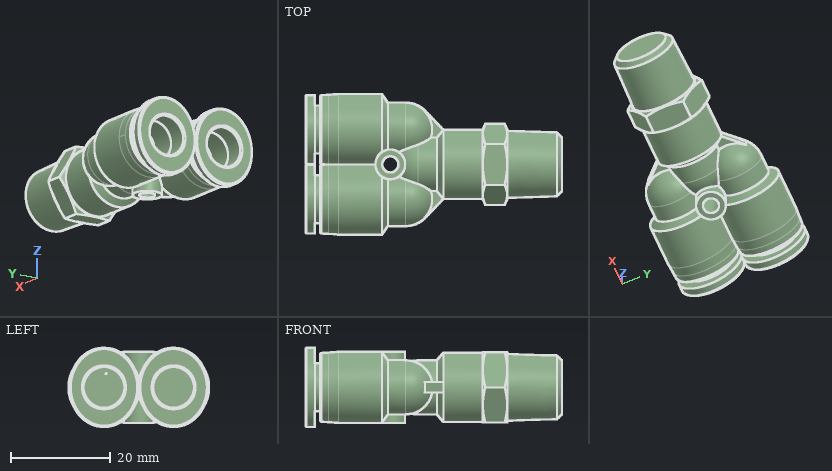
import cadquery as cq
import math

total_length = 51.7
branch_spacing = 14.0
branch_y = branch_spacing / 2

flange_width = 13.9
flange_height = 16.0
flange_thickness = 1.9
flange_edge_chamfer = 0.25
neck_diameter = 9.7
tube_bore_diameter = 8.2
sleeve_end_x = 4.6
tube_bore_depth = 10.35
tube_bore_chamfer = 0.3

socket_front_x = 2.95
socket_front_chamfer = 0.25
front_ring_end_x = 4.65
socket_taper_end_x = 6.65
socket_end_x = 15.4
arm_start_x = 16.6
arm_dome_x = 20.15
front_ring_diameter = 13.9
front_ring_end_diameter = 14.05
socket_diameter = 14.35
arm_radius = 5.5

trunk_dome_x = 22.7
barrel_cone_x = 26.45
barrel_start_x = 27.75
barrel_diameter = 14.0
web_thickness = 2.15

eyelet_x = 17.1
eyelet_diameter = 6.0
eyelet_hole_diameter = 3.2
eyelet_height = socket_diameter

hex_start_x = 35.65
hex_end_x = 40.7
hex_across_flats = 14.2
hex_across_corners = hex_across_flats / math.cos(math.pi / 6)
hex_face_diameter = 13.9
hex_chamfer_length = 0.55
thread_start_diameter = 13.55
thread_taper = 1 / 16
thread_end_chamfer = 1.1


def revolve_about_x(profile):
    """Close an (x, radius) profile and turn it about the X axis."""
    return profile.close().revolve(360, (0, 0, 0), (1, 0, 0))


def cylinder_x(diameter, start, end):
    return cq.Workplane("YZ").workplane(offset=start).circle(diameter / 2).extrude(end - start)


def make_socket(y):
    """Stepped socket with a smaller arm closed by a hemisphere."""
    ring_radius = front_ring_diameter / 2
    dome_reach = arm_radius * math.sqrt(0.5)
    profile = (
        cq.Workplane("XY")
        .moveTo(socket_front_x, 0)
        .lineTo(socket_front_x, ring_radius - socket_front_chamfer)
        .lineTo(socket_front_x + socket_front_chamfer, ring_radius)
        .lineTo(front_ring_end_x, front_ring_end_diameter / 2)
        .lineTo(socket_taper_end_x, socket_diameter / 2)
        .lineTo(socket_end_x, socket_diameter / 2)
        .lineTo(arm_start_x, arm_radius)
        .lineTo(arm_dome_x, arm_radius)
        .threePointArc((arm_dome_x + dome_reach, dome_reach), (arm_dome_x + arm_radius, 0))
    )
    return revolve_about_x(profile).translate((0, y, 0))


def make_trunk():
    """Domed trunk that widens to the barrel behind the hexagon."""
    dome_reach = arm_radius * math.sqrt(0.5)
    profile = (
        cq.Workplane("XY")
        .moveTo(trunk_dome_x - arm_radius, 0)
        .threePointArc((trunk_dome_x - dome_reach, dome_reach), (trunk_dome_x, arm_radius))
        .lineTo(barrel_cone_x, arm_radius)
        .lineTo(barrel_start_x, barrel_diameter / 2)
        .lineTo(hex_start_x, barrel_diameter / 2)
        .lineTo(hex_start_x, 0)
    )
    return revolve_about_x(profile)


def make_web():
    """Flat web whose slanted edges run tangent from the arm domes to the barrel."""
    barrel_radius = barrel_diameter / 2
    tangent_angle = math.acos(arm_radius / (barrel_start_x - arm_dome_x))
    tangent_x = arm_dome_x + arm_radius * math.cos(tangent_angle)
    tangent_y = branch_y + arm_radius * math.sin(tangent_angle)
    outline = [
        (arm_dome_x, branch_y),
        (tangent_x, tangent_y),
        (barrel_start_x, barrel_radius),
        (barrel_start_x, -barrel_radius),
        (tangent_x, -tangent_y),
        (arm_dome_x, -branch_y),
    ]
    return cq.Workplane("XY").polyline(outline).close().extrude(web_thickness / 2, both=True)


def make_housing():
    housing = make_trunk().union(make_web())
    for y in (-branch_y, branch_y):
        housing = housing.union(make_socket(y))
    eyelet = cq.Workplane("XY").center(eyelet_x, 0)
    housing = housing.union(eyelet.circle(eyelet_diameter / 2).extrude(eyelet_height / 2, both=True))
    housing = housing.cut(eyelet.circle(eyelet_hole_diameter / 2).extrude(eyelet_height / 2, both=True))
    for y in (-branch_y, branch_y):
        recess = cylinder_x(neck_diameter, socket_front_x, sleeve_end_x)
        tube_bore = cylinder_x(tube_bore_diameter, sleeve_end_x, tube_bore_depth)
        housing = housing.cut(recess.union(tube_bore).translate((0, y, 0)))
    return housing


def make_sleeve(y):
    """Oval-flanged sleeve whose neck seats in a housing recess."""
    flange = (
        cq.Workplane("YZ")
        .ellipse(flange_width / 2, flange_height / 2)
        .extrude(flange_thickness)
        .faces("<X")
        .chamfer(flange_edge_chamfer)
    )
    sleeve = flange.union(cylinder_x(neck_diameter, 0, sleeve_end_x))
    sleeve = sleeve.cut(cylinder_x(tube_bore_diameter, 0, sleeve_end_x))
    bore_rim = sleeve.faces("<X").edges(cq.selectors.RadiusNthSelector(0))
    return bore_rim.chamfer(tube_bore_chamfer).translate((0, y, 0))


def make_hexagon():
    """Hexagon with corners on +Y and -Y, both ends turned to a chamfer."""
    prism = (
        cq.Workplane("YZ")
        .workplane(offset=hex_start_x)
        .polygon(6, hex_across_corners)
        .extrude(hex_end_x - hex_start_x)
    )
    turned = (
        cq.Workplane("XY")
        .moveTo(hex_start_x, 0)
        .lineTo(hex_start_x, hex_face_diameter / 2)
        .lineTo(hex_start_x + hex_chamfer_length, hex_across_corners / 2)
        .lineTo(hex_end_x - hex_chamfer_length, hex_across_corners / 2)
        .lineTo(hex_end_x, hex_face_diameter / 2)
        .lineTo(hex_end_x, 0)
    )
    return prism.intersect(revolve_about_x(turned))


def make_threaded_stem():
    """Hexagon followed by a plain tapered thread envelope."""
    chamfer_x = total_length - thread_end_chamfer
    thread_end_radius = (thread_start_diameter - thread_taper * (chamfer_x - hex_end_x)) / 2
    thread = (
        cq.Workplane("XY")
        .moveTo(hex_end_x, 0)
        .lineTo(hex_end_x, thread_start_diameter / 2)
        .lineTo(chamfer_x, thread_end_radius)
        .lineTo(total_length, thread_end_radius - thread_end_chamfer)
        .lineTo(total_length, 0)
    )
    return make_hexagon().union(revolve_about_x(thread))


housing = make_housing()
sleeves = [make_sleeve(y) for y in (-branch_y, branch_y)]
threaded_stem = make_threaded_stem()

result = cq.Compound.makeCompound(
    [housing.solids().val(), *[sleeve.solids().val() for sleeve in sleeves], threaded_stem.solids().val()]
)